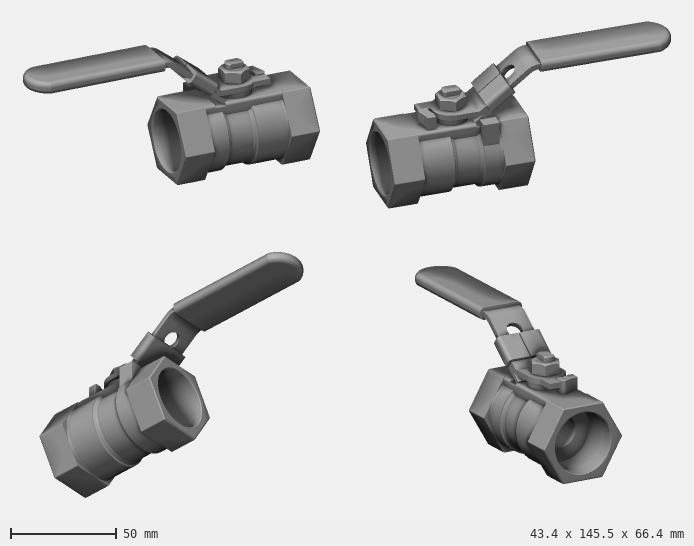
import cadquery as cq
import math


overall_length = 145.5
overall_height = 66.4

hex_flats = 37.8
hex_corner_radius = 0.7
hex_end_chamfer = 0.6
back_end_y = 35.4
front_end_y = -35.5
back_hex_y = 20.2
front_hex_y = -20.5
body_top = hex_flats / 2
neck_radius = 17.0
collar_radius = 18.6
collar_root_radius = 18.9
back_collar_y = 2.9
front_collar_y = -10.2
collar_fillet = 1.2
collar_foot_length = 0.9
thread_bore_radius = 15.3
thread_bore_depth = 20.7
bore_mouth_chamfer = 0.5
port_radius = 8.0

rail_half_width = 11.0
rail_fillet = 1.3
notch_floor = 17.5
notch_back_y = -9.5
notch_front_y = -15.0

gland_radius = 8.6
nut_flats = 13.1
nut_height = 5.7
nut_top_radius = 6.1
nut_cone_angle = 30
nut_washer_radius = 6.3
nut_washer_height = 0.7
stem_radius = 4.5
stem_half_flat = 2.9
stem_top = 34.6
stem_chamfer = 0.5
stem_collar_height = 0.3

plate_thickness = 2.8
plate_half_width = 9.9
plate_bottom = 22.5
plate_top = plate_bottom + plate_thickness
slope_angle = 37.6
slope_start_y = -11.4
lever_top = 45.7
lower_bend_radius = 1.5
upper_bend_radius = 6.7
lock_hole_radius = 4.1
lock_hole_distance = 21.8
tab_left = 0.6
tab_right = 7.0
tab_end_y = 16.0

grip_start_y = -41.8
grip_end_y = back_end_y - overall_length
grip_round_depth = 8.2
grip_half_width = 11.6
grip_thickness = 6.1
grip_top = overall_height - body_top
grip_fillet = 2.5

clamp_wall = 2.0
clamp_length = 14.1
clamp_start = 4.5
clamp_seam = 0.7
leaf_length = 9.9

block_left = -16.0
block_right = -10.0
block_back_y = -11.2
block_front_y = -19.2
block_bottom = 9.0
block_top = 21.0

lug_top = 26.2
lug_chamfer = 0.5
lug_outline = (
    (-9.0, 14.5),
    (-6.1, 15.1),
    (-1.2, 16.9),
    (0.6, 16.0),
    (0.6, 11.2),
    (-2.2, 11.6),
    (-6.1, 10.2),
    (-9.0, 10.2),
)

slope_gradient = math.tan(math.radians(slope_angle))
slope_end_y = slope_start_y - (lever_top - plate_top) / slope_gradient


def box(x0, x1, y0, y1, z0, z1):
    """Box between two opposite corners."""
    return cq.Workplane("XY").box(x1 - x0, y1 - y0, z1 - z0, centered=False).translate((x0, y0, z0))


def hexagon(flats, height):
    """Hexagonal prism standing on the XY plane, with corners on the X axis."""
    corners = 2 * flats / math.sqrt(3)
    return cq.Workplane("XY").polygon(6, corners).extrude(height)


def y_cylinder(radius, y0, y1):
    """Cylinder around the bore axis."""
    return cq.Workplane("XZ", origin=(0, y1, 0)).circle(radius).extrude(y1 - y0)


def hex_end(y0, y1, outer_face):
    """Wrench hexagon of the body with a chamfered outer rim."""
    prism = hexagon(hex_flats, y1 - y0).edges("|Z").fillet(hex_corner_radius)
    prism = prism.rotate((0, 0, 0), (1, 0, 0), 90).translate((0, y1, 0))
    return prism.faces(outer_face).edges().chamfer(hex_end_chamfer)


def collar(y_hex, y_neck):
    """Raised ring that joins a hexagon to the neck."""
    inward = math.copysign(1, y_neck - y_hex)
    root_y = y_hex + inward * collar_fillet
    shoulder_y = y_neck - inward * collar_fillet
    foot_y = y_neck + inward * collar_foot_length
    return (
        cq.Workplane("XY")
        .moveTo(0, y_hex)
        .lineTo(collar_root_radius, y_hex)
        .lineTo(collar_radius, root_y)
        .lineTo(collar_radius, shoulder_y)
        .radiusArc((collar_radius - collar_fillet, y_neck), inward * collar_fillet)
        .lineTo(neck_radius, foot_y)
        .lineTo(0, foot_y)
        .close()
        .revolve(360, (0, 0, 0), (0, 1, 0))
    )


def rail():
    """Flat-topped bar between the hexagons, notched at the front for the lock leaf."""
    bar = box(-rail_half_width, rail_half_width, front_hex_y, back_hex_y, 0, body_top)
    bar = bar.edges("|Y and >Z").fillet(rail_fillet)
    notch = box(-rail_half_width, rail_half_width, notch_front_y, notch_back_y, notch_floor, body_top)
    return bar.cut(notch)


def bores():
    """Through port with a wider threaded bore at each end."""
    cutter = y_cylinder(port_radius, front_end_y, back_end_y)
    for end_y, inward in ((front_end_y, 1), (back_end_y, -1)):
        mouth_radius = thread_bore_radius + bore_mouth_chamfer
        socket = (
            cq.Workplane("XY")
            .moveTo(0, end_y)
            .lineTo(mouth_radius, end_y)
            .lineTo(thread_bore_radius, end_y + inward * bore_mouth_chamfer)
            .lineTo(thread_bore_radius, end_y + inward * thread_bore_depth)
            .lineTo(0, end_y + inward * thread_bore_depth)
            .close()
            .revolve(360, (0, 0, 0), (0, 1, 0))
        )
        cutter = cutter.union(socket)
    return cutter


def valve_body():
    """Body outside: hexagons, collars, neck and rail, before boring."""
    body = y_cylinder(neck_radius, front_hex_y, back_hex_y)
    body = body.union(hex_end(back_hex_y, back_end_y, ">Y"))
    body = body.union(hex_end(front_end_y, front_hex_y, "<Y"))
    body = body.union(collar(back_hex_y, back_collar_y))
    body = body.union(collar(front_hex_y, front_collar_y))
    return body.union(rail())


def stem_and_nut():
    """Gland washer, nut washer, chamfered nut and flatted stem."""
    washer_top = plate_top + nut_washer_height
    gland = cq.Workplane("XY", origin=(0, 0, body_top)).circle(gland_radius)
    gland = gland.extrude(plate_bottom - body_top)
    washer = cq.Workplane("XY", origin=(0, 0, plate_top)).circle(nut_washer_radius)
    washer = washer.extrude(nut_washer_height)

    nut_corner_radius = nut_flats / math.sqrt(3)
    cone_drop = (nut_corner_radius - nut_top_radius) * math.tan(math.radians(nut_cone_angle))
    nut_envelope = (
        cq.Workplane("XZ")
        .lineTo(nut_corner_radius, 0)
        .lineTo(nut_corner_radius, nut_height - cone_drop)
        .lineTo(nut_top_radius, nut_height)
        .lineTo(0, nut_height)
        .close()
        .revolve(360, (0, 0, 0), (0, 1, 0))
    )
    nut = hexagon(nut_flats, nut_height).intersect(nut_envelope).translate((0, 0, washer_top))

    stem = cq.Workplane("XY", origin=(0, 0, body_top)).circle(stem_radius).extrude(stem_top - body_top)
    stem = stem.faces(">Z").edges().chamfer(stem_chamfer)
    flat_bottom = washer_top + nut_height + stem_collar_height
    for x0, x1 in ((-stem_radius, -stem_half_flat), (stem_half_flat, stem_radius)):
        stem = stem.cut(box(x0, x1, -stem_radius, stem_radius, flat_bottom, stem_top))
    return gland.union(washer).union(nut).union(stem)


def on_slope(solid):
    """Tilt a solid built on the level plate top, at Y = 0, onto the sloped part of the lever."""
    return solid.rotate((0, 0, 0), (1, 0, 0), -slope_angle).translate((0, slope_start_y, plate_top))


def lever_plate():
    """Bent strip with a round head, a stop tab and a padlock hole."""
    under_shift = plate_thickness * math.tan(math.radians(slope_angle / 2))
    lever_end_y = grip_start_y - grip_thickness
    strip = (
        cq.Workplane("YZ", origin=(-plate_half_width, 0, 0))
        .moveTo(tab_end_y, plate_top)
        .lineTo(slope_start_y, plate_top)
        .lineTo(slope_end_y, lever_top)
        .lineTo(lever_end_y, lever_top)
        .lineTo(lever_end_y, lever_top - plate_thickness)
        .lineTo(slope_end_y - under_shift, lever_top - plate_thickness)
        .lineTo(slope_start_y - under_shift, plate_bottom)
        .lineTo(tab_end_y, plate_bottom)
        .close()
        .extrude(2 * plate_half_width)
    )
    bends = (
        (slope_start_y, plate_top, lower_bend_radius),
        (slope_start_y - under_shift, plate_bottom, lower_bend_radius + plate_thickness),
        (slope_end_y, lever_top, upper_bend_radius + plate_thickness),
        (slope_end_y - under_shift, lever_top - plate_thickness, upper_bend_radius),
    )
    for y, z, bend_radius in bends:
        strip = strip.edges(cq.NearestToPointSelector((0, y, z))).fillet(bend_radius)

    outline = cq.Workplane("XY").circle(plate_half_width).extrude(lever_top)
    outline = outline.union(box(-plate_half_width, plate_half_width, lever_end_y, 0, 0, lever_top))
    outline = outline.union(box(tab_left, tab_right, 0, tab_end_y, 0, lever_top))
    hole = cq.Workplane("XY", origin=(0, -lock_hole_distance, -2 * plate_thickness))
    hole = hole.circle(lock_hole_radius).extrude(4 * plate_thickness)
    return strip.intersect(outline).cut(on_slope(hole))


def grip():
    """Moulded sleeve with rounded edges and an arched end."""
    shoulder_y = grip_end_y + grip_round_depth
    sleeve = (
        cq.Workplane("XY", origin=(0, 0, grip_top - grip_thickness))
        .moveTo(-grip_half_width, grip_start_y)
        .lineTo(-grip_half_width, shoulder_y)
        .threePointArc((0, grip_end_y), (grip_half_width, shoulder_y))
        .lineTo(grip_half_width, grip_start_y)
        .close()
        .extrude(grip_thickness)
    )
    return sleeve.edges("(>Z or <Z) and (not >Y)").fillet(grip_fillet)


def lock_clamp():
    """Sheet sleeve around the sloped plate, with a seam on top and a leaf reaching to the body."""
    outer_half_width = plate_half_width + clamp_wall
    clamp_end = clamp_start + clamp_length
    under_side = -plate_thickness - clamp_wall
    clamp = box(-outer_half_width, outer_half_width, -clamp_end, -clamp_start, under_side, clamp_wall)
    clamp = clamp.edges("|Y").fillet(clamp_wall)
    clamp = clamp.cut(box(-clamp_seam / 2, clamp_seam / 2, -clamp_end, -clamp_start, 0, clamp_wall))
    leaf = box(
        -plate_half_width,
        plate_half_width,
        -clamp_start,
        leaf_length - clamp_start,
        under_side,
        -plate_thickness,
    )
    return on_slope(clamp.union(leaf))


def lock_block():
    """Square block on the left of the rail, seated in the front collar."""
    return box(block_left, block_right, block_front_y, block_back_y, block_bottom, block_top)


def stop_lug():
    """Upright lug that the lever tab strikes."""
    lug = (
        cq.Workplane("XY", origin=(0, 0, notch_floor))
        .polyline(lug_outline)
        .close()
        .extrude(lug_top - notch_floor)
    )
    return lug.faces(">Z").edges().chamfer(lug_chamfer)


result = valve_body()
for part in (stem_and_nut(), lever_plate(), grip(), lock_clamp(), lock_block(), stop_lug()):
    result = result.union(part)
result = result.cut(bores()).clean()